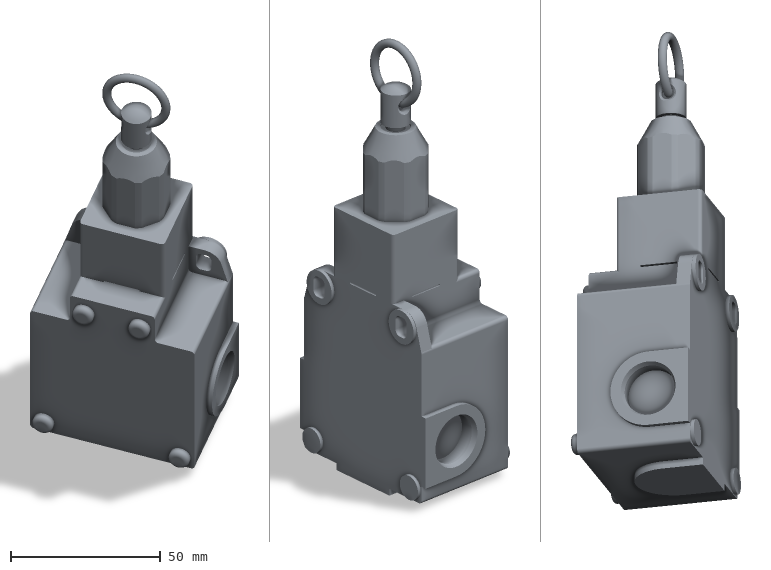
import cadquery as cq
import math


edge_radius = 1.3

overall_width = 62.0
housing_width = 58.0
housing_depth = 39.0
housing_bottom = 2.5
shoulder_z = 59.5
deck_z = 71.8
column_width = 30.0
column_depth = 29.7

post_top = 77.2
tongue_width = 12.8
tongue_gap = 0.6

lug_thickness = 4.8
lug_tip_x = 25.2
lug_corner_radius = 6.0
slot_x = 20.3
slot_z = 65.7
slot_width = 5.5
slot_height = 7.5
slot_corner_radius = 1.9

foot_height = 1.3
lug_foot_diameter = 12.3
lower_foot_diameter = 9.0

entry_radius = 13.0
entry_from_back = 13.9
entry_z = 22.2
hole_diameter = 17.4
hole_depth = 6.7
hole_flare = 0.8
hole_flare_depth = 1.9

screw_diameter = 7.2
screw_height = 2.9
screw_rounding = 1.5
upper_screw_x = 9.9
upper_screw_z = 65.2
lower_screw_x = 24.1
lower_screw_z = 7.3

head_top = 97.5
hood_top = 127.8
hood_flats = 8
hood_across_flats = 21.7
hood_corner_radius = 11.3
hood_top_radius = 6.9
hood_cone_height = 8.3
neck_diameter = 6.7
collar_height = 0.8
recess_depth = 0.5
plunger_diameter = 10.2
plunger_bottom = 129.5
plunger_shoulder = 141.6
dome_height = 1.9
eye_recess_diameter = 4.5
eye_recess_depth = 2.4
eye_chamfer = 0.8
eye_z = 137.0
ring_outer_diameter = 24.0
ring_wire_diameter = 3.0
overall_height = 159.5

half_width = housing_width / 2
half_column = column_width / 2
back_y = column_depth / 2
front_y = back_y - housing_depth
entry_y = back_y - entry_from_back
entry_height = (overall_width - housing_width) / 2


def back_profile(y):
    """XZ sketch plane at the given Y; its extrusions run toward -Y."""
    return cq.Workplane("XZ", origin=(0, y, 0))


def square_block(bottom, top):
    """Column-sized block with rounded vertical edges."""
    return (
        cq.Workplane("XY", origin=(0, 0, bottom))
        .rect(column_width, column_depth)
        .extrude(top - bottom)
        .edges("|Z")
        .fillet(edge_radius)
    )


def cross_block(bottom, top):
    """Plus-shaped block: two crossing bars as wide as the tongue."""
    height = top - bottom
    base = cq.Workplane("XY", origin=(0, 0, bottom))
    along_x = base.rect(column_width, tongue_width).extrude(height)
    along_y = base.rect(tongue_width, column_depth).extrude(height)
    return along_x.union(along_y)


def make_case():
    """Stepped case with all edges along Y rounded."""
    return (
        back_profile(back_y)
        .moveTo(-half_width, housing_bottom)
        .lineTo(half_width, housing_bottom)
        .lineTo(half_width, shoulder_z)
        .lineTo(half_column, shoulder_z)
        .lineTo(half_column, deck_z)
        .lineTo(-half_column, deck_z)
        .lineTo(-half_column, shoulder_z)
        .lineTo(-half_width, shoulder_z)
        .close()
        .extrude(housing_depth)
        .edges("|Y")
        .fillet(edge_radius)
    )


def make_posts():
    """Four corner posts standing on the deck."""
    block = square_block(shoulder_z, post_top)
    return block.cut(cross_block(deck_z, post_top))


def make_lugs():
    """Plate along the back whose two ends are the mounting lugs."""
    lug_base_z = shoulder_z - edge_radius
    plate = (
        back_profile(back_y)
        .moveTo(-half_width, lug_base_z)
        .lineTo(half_width, lug_base_z)
        .lineTo(lug_tip_x, deck_z)
        .lineTo(-lug_tip_x, deck_z)
        .close()
        .extrude(lug_thickness)
    )
    return plate.edges("|Y and >Z").fillet(lug_corner_radius)


def make_feet():
    """Round feet behind the lug slots and the lower corners."""
    base = back_profile(back_y + foot_height)
    lug_feet = (
        base.pushPoints([(-slot_x, slot_z), (slot_x, slot_z)])
        .circle(lug_foot_diameter / 2)
        .extrude(foot_height)
    )
    lower_feet = (
        base.pushPoints([(-lower_screw_x, lower_screw_z), (lower_screw_x, lower_screw_z)])
        .circle(lower_foot_diameter / 2)
        .extrude(foot_height)
    )
    return lug_feet.union(lower_feet)


def make_slots():
    """Cutters for the mounting slots, through lugs and feet."""
    return (
        back_profile(back_y + foot_height)
        .pushPoints([(-slot_x, slot_z), (slot_x, slot_z)])
        .rect(slot_width, slot_height)
        .extrude(foot_height + lug_thickness)
        .edges("|Y")
        .fillet(slot_corner_radius)
    )


def entry_pad(plane, height):
    """D-shaped pad: half round toward the front, straight to the back.

    Sketch origin is the entry axis and local Y points to the back.
    """
    return (
        plane.moveTo(-entry_radius, entry_from_back)
        .lineTo(-entry_radius, 0)
        .threePointArc((0, -entry_radius), (entry_radius, 0))
        .lineTo(entry_radius, entry_from_back)
        .close()
        .extrude(height)
    )


def side_plane(side, distance):
    """Outward plane on a cable entry axis, at a distance from the middle (side is -1 or 1).

    Its local Y points to the back for the pad, which is symmetric along Z.
    """
    return cq.Workplane(
        cq.Plane(
            origin=(side * distance, entry_y, entry_z),
            xDir=(0, 0, -side),
            normal=(side, 0, 0),
        )
    )


def make_side_pad(side):
    """Pad around the cable entry on one side."""
    return entry_pad(side_plane(side, half_width), entry_height)


def make_side_hole(side):
    """Blind hole cutter with a slightly flared mouth."""
    radius = hole_diameter / 2
    plane = side_plane(side, half_width + entry_height)
    bore = plane.circle(radius).extrude(-hole_depth)
    mouth = plane.circle(radius + hole_flare).workplane(offset=-hole_flare_depth).circle(radius).loft()
    return bore.union(mouth)


def make_bottom_pad():
    """Pad of the same outline under the housing."""
    plane = cq.Workplane("XY", origin=(0, entry_y, 0))
    return entry_pad(plane, housing_bottom)


def make_cover_screws():
    """Round screw heads on the front cover."""
    places = []
    for side in (-1, 1):
        places.append((side * upper_screw_x, upper_screw_z))
        places.append((side * lower_screw_x, lower_screw_z))
    return (
        back_profile(front_y)
        .pushPoints(places)
        .circle(screw_diameter / 2)
        .extrude(screw_height)
        .faces("<Y")
        .edges()
        .fillet(screw_rounding)
    )


def make_housing():
    """Case with posts, lugs, feet, screw heads and cable entries."""
    housing = make_case().union(make_posts()).union(make_lugs()).union(make_feet())
    housing = housing.cut(make_slots()).union(make_cover_screws()).union(make_bottom_pad())
    for side in (-1, 1):
        housing = housing.union(make_side_pad(side)).cut(make_side_hole(side))
    return housing


def make_head():
    """Square block above the posts with a cross-shaped tongue between them."""
    tongue_bottom = deck_z + tongue_gap
    return square_block(post_top, head_top).union(cross_block(tongue_bottom, post_top))


def make_hood():
    """Coned round body with flats and a thin collar in a shallow top recess."""
    cone_bottom_z = hood_top - hood_cone_height
    body = (
        cq.Workplane("XZ")
        .moveTo(0, head_top)
        .lineTo(hood_corner_radius, head_top)
        .lineTo(hood_corner_radius, cone_bottom_z)
        .lineTo(hood_top_radius, hood_top)
        .lineTo(0, hood_top)
        .close()
        .revolve(360, (0, 0, 0), (0, 1, 0))
    )
    half_turn = 180 / hood_flats
    prism = (
        cq.Workplane("XY", origin=(0, 0, head_top))
        .polygon(hood_flats, hood_across_flats / math.cos(math.radians(half_turn)))
        .extrude(hood_top - head_top)
        .rotate((0, 0, 0), (0, 0, 1), half_turn)
    )
    recess = (
        cq.Workplane("XY", origin=(0, 0, hood_top - recess_depth))
        .circle(plunger_diameter / 2)
        .extrude(recess_depth)
    )
    collar = (
        cq.Workplane("XY", origin=(0, 0, hood_top - recess_depth))
        .circle(neck_diameter / 2)
        .extrude(recess_depth + collar_height)
    )
    return body.intersect(prism).cut(recess).union(collar)


def make_plunger():
    """Neck and domed barrel; the ring runs through it in a close-fitting curved channel."""
    radius = plunger_diameter / 2
    neck_radius = neck_diameter / 2
    neck_bottom = hood_top + collar_height
    dome_radius = (radius**2 + dome_height**2) / (2 * dome_height)
    dome_top = plunger_shoulder + dome_height
    arc_x = radius / 2
    arc_z = dome_top - dome_radius + math.sqrt(dome_radius**2 - arc_x**2)
    barrel = (
        cq.Workplane("XZ")
        .moveTo(0, neck_bottom)
        .lineTo(neck_radius, neck_bottom)
        .lineTo(neck_radius, plunger_bottom)
        .lineTo(radius, plunger_bottom)
        .lineTo(radius, plunger_shoulder)
        .threePointArc((arc_x, arc_z), (0, dome_top))
        .close()
        .revolve(360, (0, 0, 0), (0, 1, 0))
    )
    for side in (-1, 1):
        recess = (
            cq.Workplane("YZ", origin=(side * (radius - eye_recess_depth), 0, eye_z))
            .circle(eye_recess_diameter / 2)
            .extrude(side * radius)
        )
        barrel = barrel.cut(recess)
    barrel = barrel.edges("%BSPLINE").chamfer(eye_chamfer)
    return barrel.cut(make_ring())


def make_ring():
    """Round wire ring standing in the XZ plane."""
    wire_radius = ring_wire_diameter / 2
    outer_radius = ring_outer_diameter / 2
    ring = cq.Solid.makeTorus(
        outer_radius - wire_radius,
        wire_radius,
        cq.Vector(0, 0, overall_height - outer_radius),
        cq.Vector(0, 1, 0),
    )
    return cq.Workplane(ring)


housing = make_housing()
head = make_head()
hood = make_hood()
plunger = make_plunger()
ring = make_ring()

bodies = [housing, head, hood, plunger, ring]
result = cq.Compound.makeCompound([body.solids().val() for body in bodies])